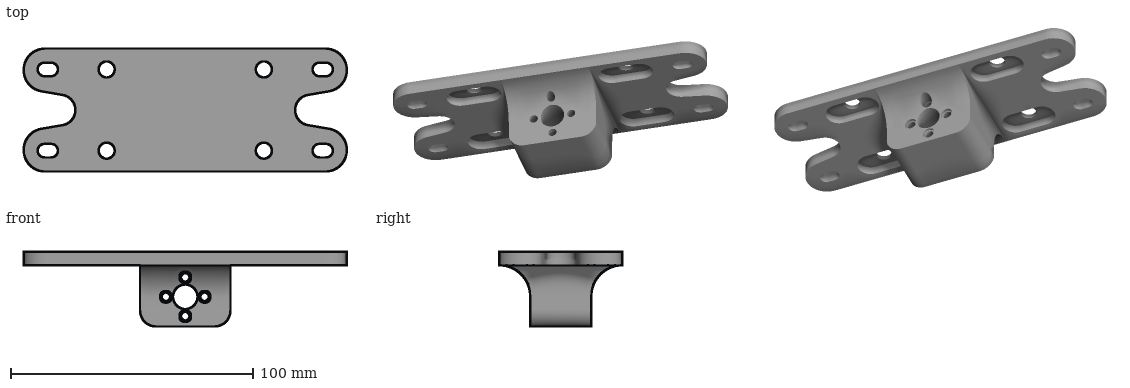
import cadquery as cq
import math

length = 133.6
width = 50.9
height = 31.0
plate_thickness = 5.7
ear_radius = 9.0
notch_depth = 21.4
notch_radius = 6.3
hole_spacing_x = 65.0
hole_spacing_y = 33.5
plate_hole_diameter = 6.5
recess_length = 23.0
recess_width = 11.2
recess_depth = 3.7
slot_length = 8.3
slot_width = 5.5
slot_inset = 10.0

block_length = 37.4
block_width = 25.4
flare_radius = 12.5
corner_radius = 6.5

bore_height = 12.3
bore_diameter = 10.0
screw_circle_radius = 8.0
screw_diameter = 3.5
counterbore_diameter = 5.0
counterbore_depth = 1.0

plate_bottom = height - plate_thickness


def plate_outline():
    """Rounded ears joined to the end notches by lines tangent to both arcs."""
    ear_x = length / 2 - ear_radius
    ear_y = width / 2 - ear_radius
    notch_x = length / 2 - notch_depth + notch_radius
    dx = ear_x - notch_x
    tilt = math.acos((ear_radius + notch_radius) / math.hypot(dx, ear_y)) - math.atan2(dx, ear_y)
    ear_tangent = (ear_x + ear_radius * math.sin(tilt), ear_y - ear_radius * math.cos(tilt))
    notch_tangent = (notch_x - notch_radius * math.sin(tilt), notch_radius * math.cos(tilt))

    def mirrored(point, sign_x, sign_y):
        return (sign_x * point[0], sign_y * point[1])

    outline = cq.Workplane("XY").workplane(offset=plate_bottom).moveTo(-ear_x, width / 2)
    for side in (1, -1):
        outline = (
            outline.lineTo(side * ear_x, side * width / 2)
            .threePointArc((side * length / 2, side * ear_y), mirrored(ear_tangent, side, side))
            .lineTo(*mirrored(notch_tangent, side, side))
            .threePointArc(
                (side * (length / 2 - notch_depth), 0),
                mirrored(notch_tangent, side, -side),
            )
            .lineTo(*mirrored(ear_tangent, side, -side))
            .threePointArc((side * length / 2, -side * ear_y), (side * ear_x, -side * width / 2))
        )
    return outline.close()


def make_plate():
    """Plate with end slots, and screw holes that open into slotted recesses underneath."""
    plate = plate_outline().extrude(plate_thickness)
    underside = cq.Workplane("XY").workplane(offset=plate_bottom)
    hole_centers = underside.rarray(hole_spacing_x, hole_spacing_y, 2, 2)
    holes = hole_centers.circle(plate_hole_diameter / 2).extrude(plate_thickness)
    recesses = hole_centers.slot2D(recess_length, recess_width).extrude(recess_depth)
    slot_spacing = length - 2 * slot_inset
    slots = (
        underside.rarray(slot_spacing, hole_spacing_y, 2, 2)
        .slot2D(slot_length, slot_width)
        .extrude(plate_thickness)
    )
    return plate.cut(holes).cut(recesses).cut(slots)


def make_block():
    """Block that flares out in Y to meet the underside of the plate."""
    half = block_width / 2
    flare_start = plate_bottom - flare_radius
    flare_end = half + flare_radius
    diagonal = flare_radius * (1 - math.sqrt(0.5))
    block = (
        cq.Workplane("YZ")
        .moveTo(-half, 0)
        .lineTo(half, 0)
        .lineTo(half, flare_start)
        .threePointArc((half + diagonal, plate_bottom - diagonal), (flare_end, plate_bottom))
        .lineTo(-flare_end, plate_bottom)
        .threePointArc((-half - diagonal, plate_bottom - diagonal), (-half, flare_start))
        .close()
        .extrude(block_length / 2, both=True)
    )
    return block.faces("<Z").edges("|Y").fillet(corner_radius)


def cylinder_along_y(x, z, diameter, start_y, end_y):
    return (
        cq.Workplane("XZ", origin=(x, start_y, z))
        .circle(diameter / 2)
        .extrude(start_y - end_y)
    )


def cut_block_holes(body):
    """Central bore and four screw holes, counterbored from the -Y side."""
    front = -width / 2
    back = width / 2
    seat = -block_width / 2 + counterbore_depth
    body = body.cut(cylinder_along_y(0, bore_height, bore_diameter, front, back))
    for angle in (0, 90, 180, 270):
        x = screw_circle_radius * math.cos(math.radians(angle))
        z = bore_height + screw_circle_radius * math.sin(math.radians(angle))
        body = body.cut(cylinder_along_y(x, z, screw_diameter, front, back))
        body = body.cut(cylinder_along_y(x, z, counterbore_diameter, front, seat))
    return body


result = cut_block_holes(make_plate().union(make_block()))